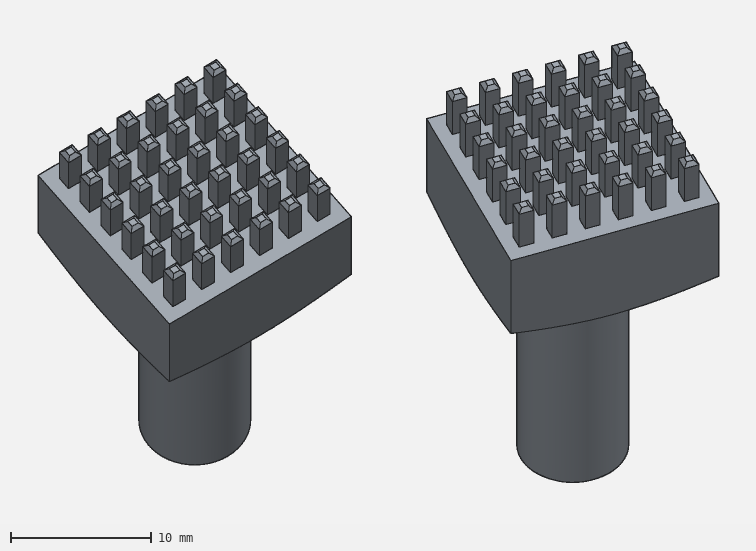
import cadquery as cq
import math

head_side = 16.0
head_height = 8.0
relief_angle = 15

shank_diameter = head_side / 2
shank_length = 20.0
shank_chamfer = 0.4

total_height = 31.5
pin_count = 6
pin_row_span = 12.7
pin_pitch = pin_row_span / (pin_count - 1)
pin_side = 1.13
pin_height = total_height - shank_length - head_height
pin_chamfer = 0.3

head_top = shank_length + head_height


def make_shank():
    """Cylinder along Z with a chamfered lower end."""
    shank = cq.Workplane("XY").circle(shank_diameter / 2).extrude(shank_length)
    return shank.faces("<Z").chamfer(shank_chamfer)


def make_head():
    """Square block whose lower corners are cut by a cone touching the side midpoints."""
    block = (
        cq.Workplane("XY")
        .workplane(offset=shank_length)
        .rect(head_side, head_side)
        .extrude(head_height)
    )
    inner_radius = head_side / 2
    outer_radius = head_side
    relief_rise = (outer_radius - inner_radius) * math.tan(math.radians(relief_angle))
    envelope = (
        cq.Workplane("XZ")
        .moveTo(0, shank_length)
        .lineTo(inner_radius, shank_length)
        .lineTo(outer_radius, shank_length + relief_rise)
        .lineTo(outer_radius, head_top)
        .lineTo(0, head_top)
        .close()
        .revolve(360, (0, 0, 0), (0, 1, 0))
    )
    return block.intersect(envelope)


def make_pins():
    """Grid of square pins with chamfered tips."""
    return (
        cq.Workplane("XY")
        .workplane(offset=head_top)
        .rarray(pin_pitch, pin_pitch, pin_count, pin_count)
        .rect(pin_side, pin_side)
        .extrude(pin_height)
        .faces(">Z")
        .chamfer(pin_chamfer)
    )


result = make_shank().union(make_head()).union(make_pins())